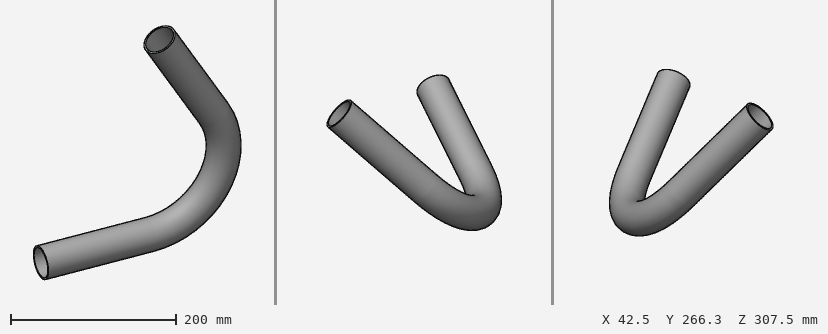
import cadquery as cq
import math

overall_height = 307.5
outer_diameter = 42.5
inner_diameter = 37.5
bend_radius = 100.0
bend_angle = 120.0

angle = math.radians(bend_angle)
outer_radius = outer_diameter / 2
bend_rise = bend_radius * (1 - math.cos(angle))
end_face_rise = outer_radius * abs(math.cos(angle))
leg_length = (overall_height - outer_radius - bend_rise - end_face_rise) / math.sin(angle)


def bend_point(turned):
    """Centreline point (y, z) after turning the given angle from the level leg."""
    return (bend_radius * math.sin(turned), bend_radius * (1 - math.cos(turned)))


bend_end = bend_point(angle)
upper_end = (
    bend_end[0] + leg_length * math.cos(angle),
    bend_end[1] + leg_length * math.sin(angle),
)
centreline = (
    cq.Workplane("YZ")
    .moveTo(-leg_length, 0)
    .lineTo(0, 0)
    .threePointArc(bend_point(angle / 2), bend_end)
    .lineTo(*upper_end)
)

result = (
    cq.Workplane("XZ", origin=(0, -leg_length, 0))
    .circle(outer_radius)
    .circle(inner_diameter / 2)
    .sweep(centreline)
)